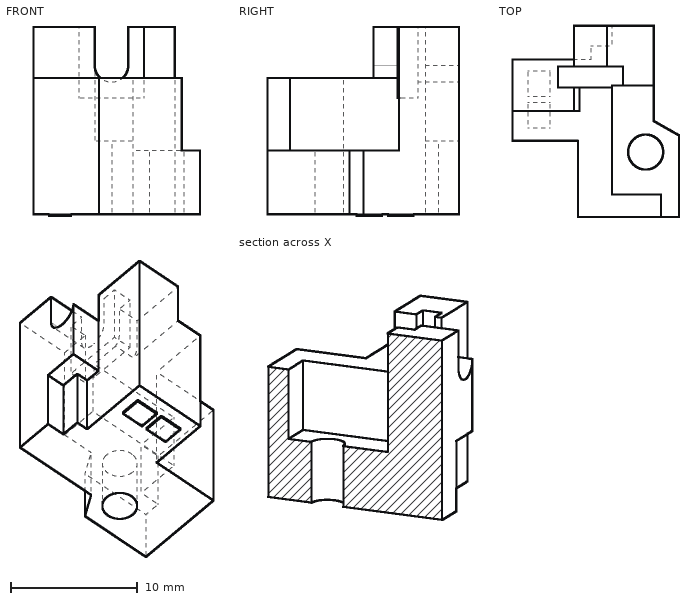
import cadquery as cq

width = 13.15
depth = 15.1
body_height = 14.77
pad_height = 0.14

arm_front = 6.01
arm_back = 12.44
stem_left = 5.16
tower_left = 4.85
tower_right = 11.16
bevel_back = 7.58
bevel_front = 6.45

ledge_height = 10.74
left_tower_front = 8.35
shelf_height = 5.03
wall_inner_x = 7.84
wall_inner_y = 1.8
wall_right = 11.7
right_tower_front = 10.37

slot_width = 2.63
slot_center_x = tower_left + slot_width / 2
slot_axis_z = 11.72
nut_size = 5.12
nut_front = 10.24
nut_back = 11.87

hole_diameter = 2.75
hole_x = 10.51
hole_y = 5.13

recess_height = 5.78
recess_step_y = 13.48
recess_shallow_right = 6.19

pad_left = 1.24
pad_width = 1.75
pad_length = 2.01
pad_fronts = (7.02, 9.51)


def block(x0, x1, y0, y1, z0, z1):
    """Box between two opposite corners."""
    return cq.Workplane("XY").box(x1 - x0, y1 - y0, z1 - z0, centered=False).translate((x0, y0, z0))


outline = [
    (stem_left, 0),
    (width, 0),
    (width, bevel_front),
    (tower_right, bevel_back),
    (tower_right, depth),
    (tower_left, depth),
    (tower_left, arm_back),
    (0, arm_back),
    (0, arm_front),
    (stem_left, arm_front),
]
body = cq.Workplane("XY").polyline(outline).close().extrude(body_height)

body = body.cut(block(0, width, 0, left_tower_front, ledge_height, body_height))

body = body.cut(
    block(slot_center_x, wall_inner_x, 0, nut_front, ledge_height, body_height)
)

body = body.cut(
    block(wall_inner_x, width, wall_inner_y, right_tower_front, shelf_height, body_height)
)
body = body.cut(block(wall_right, width, 0, wall_inner_y, shelf_height, body_height))

slot_cylinder = (
    cq.Workplane("XZ", origin=(slot_center_x, depth, slot_axis_z))
    .circle(slot_width / 2)
    .extrude(depth - left_tower_front)
)
slot_top = block(
    tower_left, tower_left + slot_width, left_tower_front, depth, slot_axis_z, body_height
)
slot_keep = block(0, width, left_tower_front, nut_front, 0, ledge_height)
body = body.cut(slot_cylinder.union(slot_top).cut(slot_keep))

body = body.cut(
    block(
        slot_center_x - nut_size / 2,
        slot_center_x + nut_size / 2,
        nut_front,
        nut_back,
        slot_axis_z - nut_size / 2,
        body_height,
    )
)

body = body.cut(
    cq.Workplane("XY").center(hole_x, hole_y).circle(hole_diameter / 2).extrude(body_height)
)

body = body.cut(block(tower_left, recess_shallow_right, arm_back, depth, 0, recess_height))
body = body.cut(block(tower_left, wall_inner_x, recess_step_y, depth, 0, recess_height))

for pad_front in pad_fronts:
    body = body.union(
        block(pad_left, pad_left + pad_width, pad_front, pad_front + pad_length, -pad_height, 0)
    )

result = body